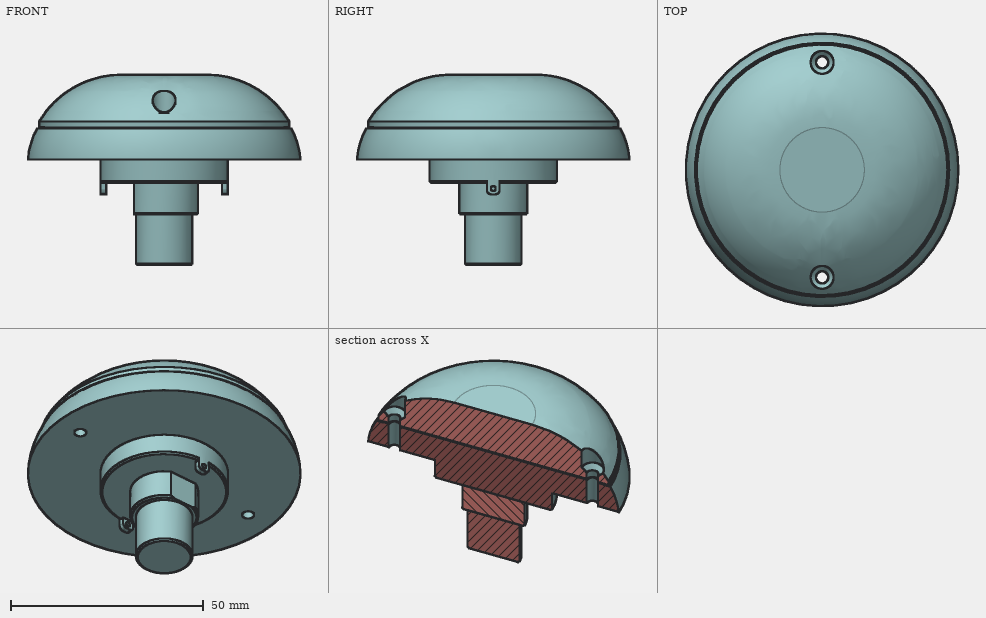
import cadquery as cq
import math

DOME_TOP = 22.05
DOME_EDGE = 9.9
RIM_TOP = 8.1
RIM_LAND = 0.2
FLANGE_BOTTOM = -6.0
TAB_BOTTOM = -9.0
HUB_BOTTOM = -14.3
STEM_BOTTOM = -27.35
CHAMFER = 0.5

DOME_RADIUS = 32.45
CROWN_FLAT_RADIUS = 10.95
GASKET_RADIUS = 31.1
GASKET_THICKNESS = 0.2
DOME_BOTTOM = RIM_TOP + GASKET_THICKNESS

RIM_RADIUS = 35.35
RIM_TOP_RADIUS = 32.95
RIM_SIDE_RADIUS = 20.0
FLANGE_RADIUS = 16.55
TAB_THICKNESS = 1.55
TAB_WIDTH = 3.25
TAB_CORNER_RADIUS = 1.05
TAB_HOLE_DIAMETER = 1.3
TAB_HOLE_HEIGHT = -7.5

HUB_RADIUS = 8.85
HUB_FLAT_DISTANCE = 7.85
STEM_RADIUS = 7.35

SCREW_OFFSET = 27.85
SCREW_HOLE_RADIUS = 1.55
SCREW_HEAD_RADIUS = 3.0
SCREW_SEAT = 12.1


def plane_at(height):
    """Horizontal workplane at the given height."""
    return cq.Workplane("XY").workplane(offset=height)


def disc(radius, bottom, top):
    """Upright cylinder between two heights."""
    return plane_at(bottom).circle(radius).extrude(top - bottom)


def chamfered_disc(radius, bottom, top):
    """Upright cylinder with a chamfered lower edge."""
    return disc(radius, bottom, top).faces("<Z").edges().chamfer(CHAMFER)


def at_screws(bottom):
    """Workplane with a point at each of the two screw axes."""
    return plane_at(bottom).pushPoints([(0, SCREW_OFFSET), (0, -SCREW_OFFSET)])


def screw_shanks():
    """Clearance cylinders through the rim, gasket and dome."""
    return at_screws(0).circle(SCREW_HOLE_RADIUS).extrude(DOME_TOP)


def screw_heads():
    """Head bores, open at the crown, with countersunk floors."""
    cone_depth = SCREW_HEAD_RADIUS - SCREW_HOLE_RADIUS
    cone = cq.Solid.makeCone(SCREW_HOLE_RADIUS, SCREW_HEAD_RADIUS, cone_depth)
    cones = at_screws(SCREW_SEAT - cone_depth).eachpoint(lambda place: cone.moved(place))
    bores = at_screws(SCREW_SEAT).circle(SCREW_HEAD_RADIUS).extrude(DOME_TOP - SCREW_SEAT)
    return bores.union(cones)


def make_dome():
    """Flat-topped dome whose crown arc leaves the flat top tangentially."""
    crown_run = DOME_RADIUS - CROWN_FLAT_RADIUS
    crown_drop = DOME_TOP - DOME_EDGE
    crown_radius = (crown_run ** 2 + crown_drop ** 2) / (2 * crown_drop)
    half_angle = math.asin(crown_run / crown_radius) / 2
    crown_middle = (
        CROWN_FLAT_RADIUS + crown_radius * math.sin(half_angle),
        DOME_TOP - crown_radius * (1 - math.cos(half_angle)),
    )
    dome = (
        cq.Workplane("XZ")
        .moveTo(0, DOME_BOTTOM)
        .lineTo(DOME_RADIUS, DOME_BOTTOM)
        .lineTo(DOME_RADIUS, DOME_EDGE)
        .threePointArc(crown_middle, (CROWN_FLAT_RADIUS, DOME_TOP))
        .lineTo(0, DOME_TOP)
        .close()
        .revolve(360, (0, 0), (0, 1))
    )
    return dome.cut(screw_heads()).cut(screw_shanks())


def make_gasket():
    return disc(GASKET_RADIUS, RIM_TOP, DOME_BOTTOM).cut(screw_shanks())


def make_rim():
    """Rim with a bulging side above its narrow upright land."""
    chord_run = RIM_RADIUS - RIM_TOP_RADIUS
    chord_rise = RIM_TOP - RIM_LAND
    chord = math.hypot(chord_run, chord_rise)
    bulge = RIM_SIDE_RADIUS - math.sqrt(RIM_SIDE_RADIUS ** 2 - (chord / 2) ** 2)
    side_middle = (
        (RIM_RADIUS + RIM_TOP_RADIUS) / 2 + bulge * chord_rise / chord,
        (RIM_LAND + RIM_TOP) / 2 + bulge * chord_run / chord,
    )
    rim = (
        cq.Workplane("XZ")
        .lineTo(RIM_RADIUS, 0)
        .lineTo(RIM_RADIUS, RIM_LAND)
        .threePointArc(side_middle, (RIM_TOP_RADIUS, RIM_TOP))
        .lineTo(0, RIM_TOP)
        .close()
        .revolve(360, (0, 0), (0, 1))
    )
    return rim.cut(screw_shanks())


def make_flange():
    """Chamfered flange with two drilled tabs that continue its wall downward at -X and +X."""
    bar = (
        plane_at(TAB_BOTTOM)
        .rect(3 * FLANGE_RADIUS, TAB_WIDTH)
        .extrude(-TAB_BOTTOM)
        .edges("|X and <Z")
        .fillet(TAB_CORNER_RADIUS)
    )
    space_between = (
        plane_at(TAB_BOTTOM)
        .rect(2 * (FLANGE_RADIUS - TAB_THICKNESS), 2 * TAB_WIDTH)
        .extrude(-TAB_BOTTOM)
    )
    tab_hole = (
        cq.Workplane("YZ")
        .center(0, TAB_HOLE_HEIGHT)
        .circle(TAB_HOLE_DIAMETER / 2)
        .extrude(2 * FLANGE_RADIUS, both=True)
    )
    tabs = bar.cut(space_between).cut(tab_hole)
    round_wall = disc(FLANGE_RADIUS, TAB_BOTTOM, 0)
    return chamfered_disc(FLANGE_RADIUS, FLANGE_BOTTOM, 0).union(tabs).intersect(round_wall)


def make_base():
    return make_rim().union(make_flange())


def make_hub():
    """Round hub with one flat, facing -X."""
    flat_waste = (
        plane_at(HUB_BOTTOM)
        .center(-HUB_FLAT_DISTANCE - HUB_RADIUS / 2, 0)
        .rect(HUB_RADIUS, 2 * HUB_RADIUS)
        .extrude(FLANGE_BOTTOM - HUB_BOTTOM)
    )
    return chamfered_disc(HUB_RADIUS, HUB_BOTTOM, FLANGE_BOTTOM).cut(flat_waste)


def make_stem():
    return chamfered_disc(STEM_RADIUS, STEM_BOTTOM, HUB_BOTTOM)


dome = make_dome()
gasket = make_gasket()
base = make_base()
hub = make_hub()
stem = make_stem()

result = cq.Compound.makeCompound([
    dome.solids().val(),
    gasket.solids().val(),
    base.solids().val(),
    hub.solids().val(),
    stem.solids().val(),
])